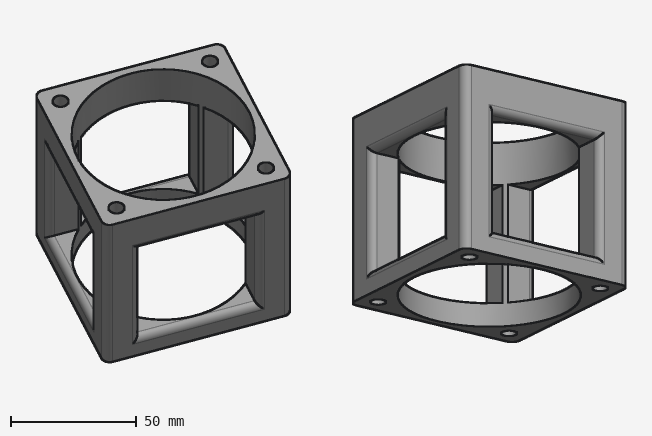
import cadquery as cq

side = 80.0
height = 78.0
corner_radius = 3.5

bore_diameter = 73.0
bolt_diameter = 6.3
bolt_spacing = 63.5

window_size = 50.0
window_floor = 10.0
window_rim_radius = 3.0
window_center_z = window_floor + window_size / 2


def make_block():
    block = cq.Workplane("XY").rect(side, side).extrude(height)
    return block.edges("|Z").fillet(corner_radius)


def cut_vertical_holes(body):
    body = body.faces(">Z").workplane().hole(bore_diameter)
    bolt_holes = body.faces(">Z").workplane(origin=(0, 0, height))
    return bolt_holes.rect(bolt_spacing, bolt_spacing, forConstruction=True).vertices().hole(bolt_diameter)


def cut_windows(body):
    """Cut crossing square passages along X and Y."""
    for length_x, length_y in ((side, window_size), (window_size, side)):
        passage = cq.Workplane("XY").box(length_x, length_y, window_size)
        body = body.cut(passage.translate((0, 0, window_center_z)))
    return body


def round_window_rims(body):
    """Round the outer edges of each window."""
    for wall in ("<X", ">X", "<Y", ">Y"):
        rim = body.faces(wall).wires(cq.selectors.LengthNthSelector(0)).edges()
        body = rim.fillet(window_rim_radius)
    return body


result = cut_vertical_holes(round_window_rims(cut_windows(make_block())))